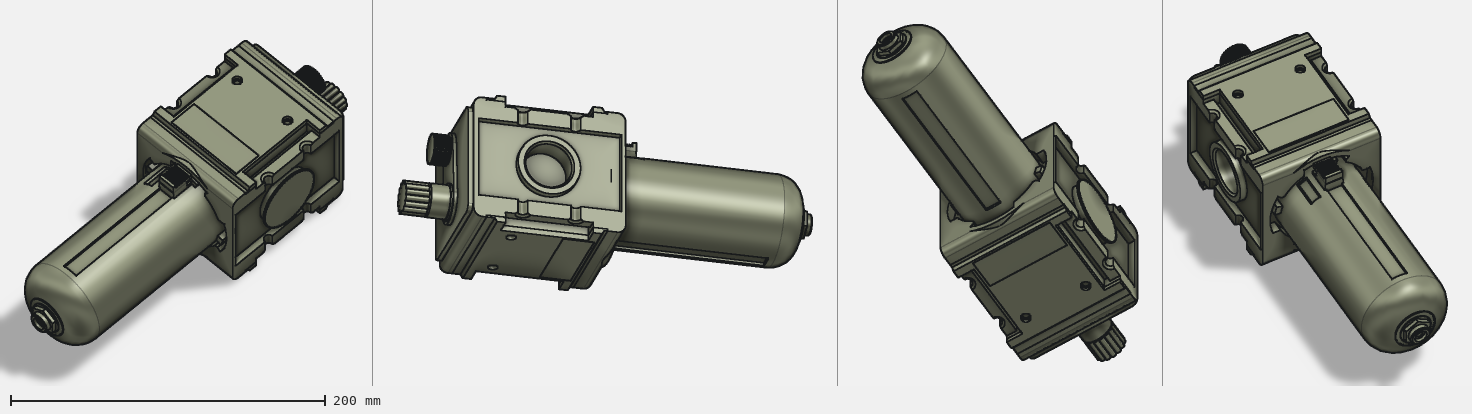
import cadquery as cq
import math


half_width = 42.5
housing_back_y = 49.5
housing_front_y = -50.0
half_height = 42.0
edge_radius = 5.4
bowl_boss_radius = 41.8

cover_seat_z = 40.7
cover_top_z = 44.5
cover_back_y = 41.3
cover_front_y = -38.3
pad_back_y = 34.3
pad_front_y = -34.5
pad_ramp_length = 1.5
cover_hole_x = 22.5
cover_hole_y = 19.8
cover_hole_diameter = 6.5
cover_hole_depth = 2.7
cover_pilot_diameter = 4.8
label_width = 58.0
label_length = 20.5
label_center_y = -22.8
label_depth = 0.3

clamp_length = 57.5
clamp_inner_x = 30.8
clamp_lip_x = 35.0
clamp_floor_z = 37.3
clamp_groove_z = 32.0
clamp_hole_y = 17.5
clamp_hole_diameter = 6.5
clamp_sink_diameter = 10.0
clamp_sink_depth = 1.3

face_recess_length = 93.8
face_recess_half_height = 27.0
face_recess_center_y = -0.5
face_recess_depth = 4.8
port_boss_diameter = 41.0
port_diameter = 30.3
port_chamfer = 1.3
port_depth = 16.0
plug_diameter = 45.0
plug_thickness = 1.3
plug_groove_count = 60
plug_groove_radius = 0.5

lid_half_width = 40.2
lid_half_height = 37.0
lid_thickness = 3.2
lid_corner_radius = 4.5
dial_plate_thickness = 2.5
lid_y = housing_back_y + lid_thickness
dial_plate_y = lid_y + dial_plate_thickness

adjuster_z = -13.7
adjuster_plate_radius = 14.2
adjuster_collar_diameter = 24.5
adjuster_collar_thickness = 1.3
adjuster_diameter = 22.0
adjuster_end_y = 85.5
adjuster_chamfer = 1.0
lobe_count = 14
lobe_radius = 2.0
lobe_length = 15.5

filler_z = 22.8
filler_plate_radius = 11.5
filler_neck_diameter = 17.7
filler_diameter = 19.8
filler_start_y = 56.3
filler_end_y = 66.7
knurl_count = 36
knurl_radius = 0.5

socket_depth = 21.5
socket_gap_radius = 32.2
socket_gap_depth = 8.0
notch_radius = 37.3
notch_count = 4
notch_side = 12.5
notch_corner_side = 17.7
notch_corner_angle = 57.5

bowl_diameter = 60.0
bowl_end_y = -174.2
bowl_end_radius = 16.3
lug_radius = 34.5
lug_start_angle = 71
lug_end_angle = 82
lug_front_y = -50.7
lug_places = (0, 1, 3)
window_width = 11.0
window_front_y = -153.8
window_back_y = -54.1
window_floor_z = 27.5
mark_inner_x = -11.0
mark_outer_x = -18.0
mark_wall_bottom_z = 25.7
mark_corner_x = -16.3
mark_corner_z = 23.0
mark_outer_z = 24.0
mark_end_y = -69.0

latch_end_y = -67.0
latch_width = 12.3
latch_foot_width = 14.0
latch_split_z = 34.8
latch_overhang = 0.3
latch_top_z = 38.0
latch_lip_z = 40.7
latch_lip_length = 2.5
tooth_count = 5
tooth_length = 1.0
tooth_height = 1.0
tooth_pitch = 2.5
tooth_first_y = -53.5
latch_notch_depth = 1.3
latch_notch_end_y = -54.7
latch_notch_bottom_z = 31.0

washer_diameter = 28.7
washer_end_y = -175.0
ring_diameter = 22.0
ring_end_y = -175.5
hex_across_flats = 17.5
hex_end_y = -178.5
drain_diameter = 14.0
drain_end_y = -182.5
drain_chamfer = 0.8
drain_bore_diameter = 8.5
drain_bore_depth = 2.7
drain_pilot_diameter = 4.8
drain_pilot_depth = 8.0

bowl_radius = bowl_diameter / 2
socket_floor_y = housing_front_y + socket_depth
notch_floor_y = housing_front_y + socket_gap_depth


def block(x_range, y_range, z_range):
    """Box between two X, two Y and two Z values."""
    lows = [min(r) for r in (x_range, y_range, z_range)]
    sizes = [abs(r[1] - r[0]) for r in (x_range, y_range, z_range)]
    return cq.Workplane().box(*sizes, centered=False).translate(tuple(lows))


def y_cylinder(radius, y_start, y_end, x=0, z=0):
    """Cylinder along Y between two Y values."""
    return cq.Workplane("XZ", origin=(x, y_start, z)).circle(radius).extrude(y_start - y_end)


def x_cylinder(radius, x_start, x_end):
    """Cylinder along X on the port axis."""
    return cq.Workplane("YZ", origin=(x_start, 0, 0)).circle(radius).extrude(x_end - x_start)


def polar(radius, angle):
    """Point in the XZ plane at an angle measured from +X towards +Z."""
    return (radius * math.cos(math.radians(angle)), radius * math.sin(math.radians(angle)))


def around_bowl(shape, index):
    """Copy of a shape turned about the bowl axis to one of the notch positions."""
    return shape.rotate((0, 0, 0), (0, 1, 0), index * 360 / notch_count)


def upper_and_lower(shape):
    """The shape and its mirror image below the XY plane."""
    return shape.union(shape.mirror("XY"))


def clamp_recesses():
    """Stepped recesses in all four long edges, each with a deep inner groove."""
    half = clamp_length / 2
    lip = block((clamp_lip_x, half_width), (-half, half), (clamp_floor_z, cover_top_z))
    groove = block((clamp_inner_x, clamp_lip_x), (-half, half), (clamp_groove_z, cover_top_z))
    right = lip.union(groove)
    return upper_and_lower(right.union(right.mirror("YZ")))


def clamp_holes():
    """Countersunk half holes that open in the port faces, below the clamp recesses."""
    depth = clamp_floor_z - face_recess_half_height
    places = [(x, y) for x in (-half_width, half_width) for y in (-clamp_hole_y, clamp_hole_y)]
    top = cq.Workplane("XY", origin=(0, 0, clamp_floor_z)).pushPoints(places)
    holes = top.circle(clamp_hole_diameter / 2).extrude(-depth)
    sink = cq.Solid.makeCone(
        clamp_hole_diameter / 2, clamp_sink_diameter / 2, clamp_sink_depth,
        pnt=cq.Vector(0, 0, clamp_floor_z - clamp_sink_depth),
    )
    for x, y in places:
        holes = holes.union(cq.Workplane(sink.translate(cq.Vector(x, y, 0))))
    return upper_and_lower(holes)


def housing_block():
    """Block with rounded long edges and a round boss around the bowl."""
    body = block(
        (-half_width, half_width), (housing_front_y, housing_back_y), (-half_height, half_height)
    )
    body = body.edges("|X").fillet(edge_radius)
    boss = y_cylinder(bowl_boss_radius, housing_front_y + edge_radius, housing_front_y)
    seat = block((-half_width, half_width), (cover_front_y, cover_back_y), (cover_seat_z, cover_top_z))
    return body.union(boss).cut(upper_and_lower(seat))


def port_faces(body):
    """Sunk port faces with a raised boss, a bored port at -X and a plug at +X."""
    y_range = (
        face_recess_center_y - face_recess_length / 2,
        face_recess_center_y + face_recess_length / 2,
    )
    z_range = (-face_recess_half_height, face_recess_half_height)
    inner_x = half_width - face_recess_depth
    recess = block((inner_x, half_width), y_range, z_range)
    recess = recess.cut(x_cylinder(port_boss_diameter / 2, inner_x, half_width))
    body = body.cut(recess).cut(recess.mirror("YZ"))

    port = x_cylinder(port_diameter / 2, -half_width, port_depth - half_width)
    mouth = cq.Workplane(cq.Solid.makeCone(
        port_diameter / 2 + port_chamfer, port_diameter / 2, port_chamfer,
        pnt=cq.Vector(-half_width, 0, 0), dir=cq.Vector(1, 0, 0),
    ))
    plug = x_cylinder(plug_diameter / 2, half_width, half_width + plug_thickness)
    plug_grooves = (
        cq.Workplane("YZ", origin=(half_width, 0, 0))
        .polarArray(plug_diameter / 2, 0, 360, plug_groove_count)
        .circle(plug_groove_radius)
        .extrude(plug_thickness)
    )
    plug = plug.cut(plug_grooves)
    return body.cut(port).cut(mouth).union(plug)


def notch():
    """Insertion notch outside the socket, shaped to let a bowl lug in."""
    end_z = math.sqrt(notch_radius**2 - notch_side**2)
    corner = polar(notch_radius, notch_corner_angle)
    outline = (
        cq.Workplane("XZ", origin=(0, housing_front_y, 0))
        .moveTo(-notch_side, 0)
        .lineTo(-notch_side, end_z)
        .threePointArc((0, notch_radius), corner)
        .lineTo(notch_corner_side, corner[1] - (corner[0] - notch_corner_side))
        .lineTo(notch_corner_side, 0)
        .close()
    )
    return outline.extrude(-socket_gap_depth)


def bowl_socket():
    """Stepped round hole with four notches."""
    socket = y_cylinder(bowl_radius, housing_front_y, socket_floor_y)
    socket = socket.union(y_cylinder(socket_gap_radius, housing_front_y, notch_floor_y))
    for index in range(notch_count):
        socket = socket.union(around_bowl(notch(), index))
    return socket


def back_plates():
    """Lid with rounded corners and, on it, the tapered plate that carries both knobs."""
    lid = block(
        (-lid_half_width, lid_half_width), (housing_back_y, lid_y), (-lid_half_height, lid_half_height)
    )
    lid = lid.edges("|Y").fillet(lid_corner_radius)

    span = filler_z - adjuster_z
    slant = math.degrees(math.asin((adjuster_plate_radius - filler_plate_radius) / span))
    low_x, low_dz = polar(adjuster_plate_radius, slant)
    high_x, high_dz = polar(filler_plate_radius, slant)
    plate = (
        cq.Workplane("XZ", origin=(0, lid_y, 0))
        .moveTo(low_x, adjuster_z + low_dz)
        .lineTo(high_x, filler_z + high_dz)
        .threePointArc((0, filler_z + filler_plate_radius), (-high_x, filler_z + high_dz))
        .lineTo(-low_x, adjuster_z + low_dz)
        .threePointArc((0, adjuster_z - adjuster_plate_radius), (low_x, adjuster_z + low_dz))
        .close()
        .extrude(-dial_plate_thickness)
    )
    return lid.union(plate)


def adjusting_knob():
    """Round shaft on a collar, ending in a handle with a ring of rounded lobes."""
    collar_y = dial_plate_y + adjuster_collar_thickness
    handle_y = adjuster_end_y - lobe_length
    lobe_center_radius = adjuster_diameter / 2 - lobe_radius
    collar = y_cylinder(adjuster_collar_diameter / 2, dial_plate_y, collar_y, z=adjuster_z)
    shaft = y_cylinder(adjuster_diameter / 2, collar_y, handle_y, z=adjuster_z)
    shaft = shaft.faces(">Y").edges().chamfer(adjuster_chamfer)
    knob = collar.union(shaft).union(
        y_cylinder(lobe_center_radius, handle_y, adjuster_end_y, z=adjuster_z)
    )
    lobes = (
        cq.Workplane("XZ", origin=(0, handle_y, adjuster_z))
        .polarArray(lobe_center_radius, 0, 360, lobe_count)
        .circle(lobe_radius)
        .extrude(-lobe_length, combine=False)
    )
    for lobe in lobes.vals():
        knob = knob.union(cq.Workplane(lobe))
    return knob


def filler_plug():
    """Knurled plug on a short neck."""
    neck = y_cylinder(filler_neck_diameter / 2, dial_plate_y, filler_start_y, z=filler_z)
    knob = y_cylinder(filler_diameter / 2, filler_start_y, filler_end_y, z=filler_z)
    grooves = (
        cq.Workplane("XZ", origin=(0, filler_start_y, filler_z))
        .polarArray(filler_diameter / 2, 0, 360, knurl_count)
        .circle(knurl_radius)
        .extrude(filler_start_y - filler_end_y)
    )
    return neck.union(knob.cut(grooves))


def make_housing():
    body = port_faces(housing_block())
    body = body.cut(clamp_recesses()).cut(clamp_holes()).cut(bowl_socket())
    return body.union(back_plates()).union(adjusting_knob()).union(filler_plug())


def make_cover():
    """Upper cover: a flat plate with a raised pad, two holes and a shallow label field."""
    outline = [
        (cover_back_y, cover_seat_z),
        (cover_back_y, half_height),
        (pad_back_y + pad_ramp_length, half_height),
        (pad_back_y, cover_top_z),
        (pad_front_y, cover_top_z),
        (pad_front_y - pad_ramp_length, half_height),
        (cover_front_y, half_height),
        (cover_front_y, cover_seat_z),
    ]
    plate = cq.Workplane("YZ", origin=(-half_width, 0, 0)).polyline(outline).close()
    plate = plate.extrude(2 * half_width).cut(clamp_recesses())

    top = cq.Workplane("XY", origin=(0, 0, cover_top_z))
    places = [(-cover_hole_x, cover_hole_y), (cover_hole_x, cover_hole_y)]
    holes = top.pushPoints(places).circle(cover_hole_diameter / 2).extrude(-cover_hole_depth)
    pilots = top.pushPoints(places).circle(cover_pilot_diameter / 2).extrude(cover_seat_z - cover_top_z)
    label = top.center(0, label_center_y).rect(label_width, label_length).extrude(-label_depth)
    return plate.cut(holes).cut(pilots).cut(label)


def lug():
    """Bayonet lug on the bowl, standing in a notch of the housing."""
    middle_angle = (lug_start_angle + lug_end_angle) / 2
    inner_radius = bowl_radius - 2.7
    outline = (
        cq.Workplane("XZ", origin=(0, lug_front_y, 0))
        .moveTo(*polar(inner_radius, lug_start_angle))
        .lineTo(*polar(lug_radius, lug_start_angle))
        .threePointArc(polar(lug_radius, middle_angle), polar(lug_radius, lug_end_angle))
        .lineTo(*polar(inner_radius, lug_end_angle))
        .close()
    )
    return outline.extrude(lug_front_y - notch_floor_y)


def latch():
    """Latch with a tapered foot, a serrated top and a raised end lip."""
    slide_x = (-latch_width / 2, latch_width / 2)
    y_range = (latch_end_y, housing_front_y)
    outline = [
        (-latch_foot_width / 2, window_floor_z),
        (-latch_width / 2, latch_split_z),
        (latch_width / 2, latch_split_z),
        (latch_foot_width / 2, window_floor_z),
    ]
    foot = cq.Workplane("XZ", origin=(0, housing_front_y, 0)).polyline(outline).close()
    foot = foot.extrude(housing_front_y - latch_end_y - latch_overhang)
    notch_x = (latch_width / 2 - latch_notch_depth, latch_foot_width / 2)
    side_notch = block(
        notch_x, (latch_notch_end_y, housing_front_y), (latch_notch_bottom_z, latch_split_z)
    )
    foot = foot.cut(side_notch).cut(side_notch.mirror("YZ"))
    shape = foot.union(block(slide_x, y_range, (latch_split_z, latch_top_z)))
    lip_y = latch_end_y + latch_lip_length
    shape = shape.union(block(slide_x, (latch_end_y, lip_y), (latch_top_z, latch_lip_z)))
    for index in range(tooth_count):
        tooth_y = tooth_first_y - index * tooth_pitch
        tooth_z = (latch_top_z, latch_top_z + tooth_height)
        shape = shape.union(block(slide_x, (tooth_y, tooth_y + tooth_length), tooth_z))
    return shape


def drain():
    """Washer, ring, hexagon and bored spigot at the bowl end."""
    washer = y_cylinder(washer_diameter / 2, bowl_end_y, washer_end_y)
    ring = y_cylinder(ring_diameter / 2, washer_end_y, ring_end_y)
    hexagon = (
        cq.Workplane("XZ", origin=(0, ring_end_y, 0))
        .polygon(6, hex_across_flats / math.cos(math.radians(30)))
        .extrude(ring_end_y - hex_end_y)
        .rotate((0, 0, 0), (0, 1, 0), 30)
    )
    spigot = y_cylinder(drain_diameter / 2, hex_end_y, drain_end_y)
    spigot = spigot.faces("<Y").edges().chamfer(drain_chamfer)
    bore = y_cylinder(drain_bore_diameter / 2, drain_end_y, drain_end_y + drain_bore_depth)
    pilot = y_cylinder(drain_pilot_diameter / 2, drain_end_y, drain_end_y + drain_pilot_depth)
    return washer.union(ring).union(hexagon).union(spigot).cut(bore).cut(pilot)


def alignment_mark():
    """Notched groove along the bowl wall with one upright side."""
    outline = [
        (mark_inner_x, bowl_radius),
        (mark_inner_x, mark_wall_bottom_z),
        (mark_corner_x, mark_corner_z),
        (mark_outer_x, mark_outer_z),
        (mark_outer_x, bowl_radius),
    ]
    groove = cq.Workplane("XZ", origin=(0, housing_front_y, 0)).polyline(outline).close()
    return groove.extrude(housing_front_y - mark_end_y)


def make_bowl():
    body = y_cylinder(bowl_radius, socket_floor_y, bowl_end_y)
    body = body.faces("<Y").edges().fillet(bowl_end_radius)

    window_x = (-window_width / 2, window_width / 2)
    window = block(window_x, (window_front_y, window_back_y), (window_floor_z, bowl_radius))
    body = body.cut(upper_and_lower(window)).cut(alignment_mark())

    for index in lug_places:
        body = body.union(around_bowl(lug(), index))
    return body.union(latch()).union(drain())


housing = make_housing()
upper_cover = make_cover()
covers = [upper_cover, upper_cover.mirror("XY")]
bowl = make_bowl()

result = cq.Compound.makeCompound([housing.val(), *[cover.val() for cover in covers], bowl.val()])